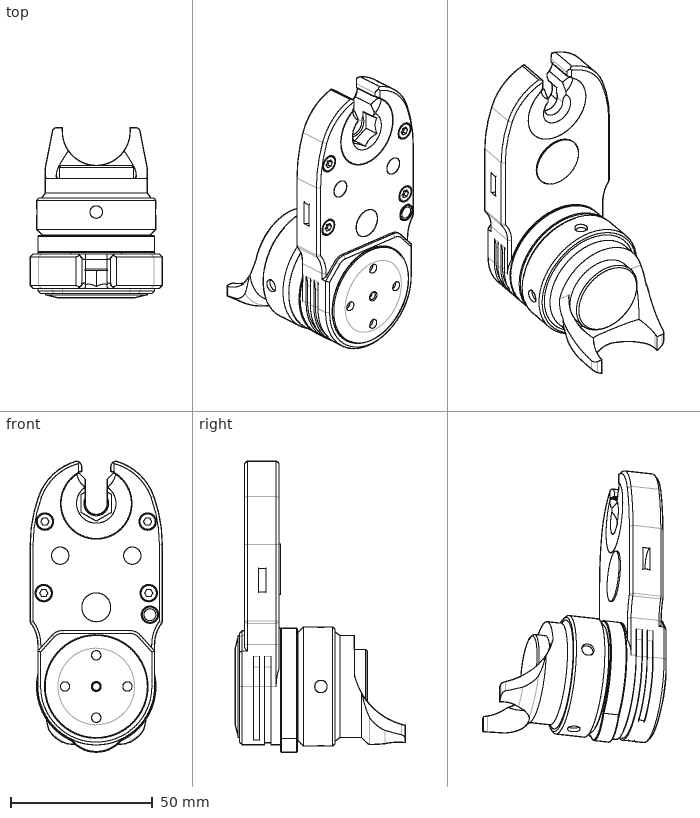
import cadquery as cq
import math


plate_front = 3.3
plate_back = 15.5
plate_chamfer = 1.05
plate_half_width = 23.3
shoulder_low_z = 22.6
shoulder_radius = 1.6
shoulder_high_z = 50.0
neck_z = 14.85
flank_radius = 50.0
flank_top_z = 67.0
crown_radius = 20.0

head_radius = 20.6
head_front = 1.5
head_back = 16.0
head_chamfer = 1.0
step_top_z = 19.7
step_top_half_width = 14.1
step_side_z = 12.5
step_corner_radius = 5.0

cap_radius = 18.0
cap_edge_y = 1.1
cap_face_radius = 13.5
cap_gap = 0.25
cap_gap_depth = 0.5
cap_hole_radius = 1.65
cap_hole_circle_radius = 11.0
cap_hole_depth = 2.0
cap_centre_hole_radius = 1.35
cap_centre_chamfer = 0.4

groove_depth = 0.7
groove_flat_top_z = 6.8
groove_end_z = 10.5
rear_groove = (10.4, 12.6)
front_groove = (6.45, 8.6)
front_groove_low_z = -18.9

rotor_z = 64.5
rotor_radius = 12.4
rotor_clearance = 0.2
clearance_depth = 2.0
rotor_slot_half_width = 3.85
rotor_slot_chamfer = 0.5
hex_across_flats = 10.8
hex_depth = 6.3
countersink_radius = 6.95
mouth_cone_z = 76.0
mouth_edge_z = 73.0
rear_countersink_depth = 2.0
jaw_half_width = 6.3
lip_half_width = 5.1
lip_bottom_z = 75.6
lip_tip_radius = 2.0
lip_top_z = 79.4

screw_places = [(-18.1, 58.1), (18.1, 58.1), (-18.5, 32.9), (18.5, 32.9)]
screw_bore_radius = 3.05
screw_head_radius = 2.7
screw_gap_depth = 1.0
screw_hex_diameter = 2.9
screw_hex_depth = 1.5
fitting_place = (18.9, 25.3)
fitting_bore_radius = 2.1
pin_places = [(-12.7, 46.1, 3.05), (12.7, 46.1, 3.05), (0, 27.9, 5.1)]
pin_recess = 0.1
rear_boss_z = 41.3
rear_boss_radius = 8.95
window_z = 37.45
window_centre_x = 20.6
window_radius = 5.0
window_span = (8.2, 10.9)

flange_back = 21.9
flange_radius = 20.6
flange_chamfer = 0.3
lobe_radius = 11.4
lobe_reach = 23.2
collar_front = 22.1
collar_back = 35.2
collar_radius = 21.05
collar_front_chamfer = 2.0
collar_back_chamfer = 0.8
collar_neck_radius = 18.5
collar_hole_y = 30.25
collar_hole_radius = 2.2
collar_hole_depth = 1.5
shank_cone_radius = 19.3
shank_cone_end = 36.9
shank_radius = 18.05
shank_back = 42.0
boss_radius = 13.05
boss_back = 46.6
boss_chamfer = 0.6

fork_back = 60.0
flare_start_y = 44.6
flare_end_y = 47.4
fork_bulge_y = 50.0
fork_bulge_radius = 22.0
fork_rim_y = 52.8
fork_rim_radius = 22.7
fork_end_radius = 23.1
fork_taper_y = 45.5
fork_tip_half_width = 15.2
fork_tip_radius = 1.6
fork_mouth_radius = 11.9
fork_mouth_y = 58.6
saddle_radius = 23.5
saddle_y = 65.0
saddle_z = 9.3
boss_clearance_radius = 14.1


def outline_at(y):
    """Workplane in X and Z at depth y; negative extrusions go toward +Y."""
    return cq.Workplane("XZ", origin=(0, y, 0))


def disc(radius, y_start, y_end, x=0, z=0):
    return outline_at(y_start).center(x, z).circle(radius).extrude(y_start - y_end)


def cone(radius_start, radius_end, y_start, y_end, z=0):
    solid = cq.Solid.makeCone(
        radius_start, radius_end, y_end - y_start, cq.Vector(0, y_start, z), cq.Vector(0, 1, 0)
    )
    return cq.Workplane(solid)


def box(x_span, y_span, z_span):
    size = [high - low for low, high in (x_span, y_span, z_span)]
    return cq.Workplane("XY").box(*size, centered=False).translate((x_span[0], y_span[0], z_span[0]))


def mirrored_x(shape):
    return shape.union(shape.mirror("YZ"))


def plate_outline():
    flank_x = plate_half_width - flank_radius
    flank_angle = math.asin((flank_top_z - shoulder_high_z) / flank_radius)
    flank_end_x = flank_x + flank_radius * math.cos(flank_angle)
    crown_x = flank_end_x - crown_radius * math.cos(flank_angle)
    crown_z = flank_top_z - crown_radius * math.sin(flank_angle)
    crown_angle = (flank_angle + math.pi / 2) / 2
    crown_mid = (
        crown_x + crown_radius * math.cos(crown_angle),
        crown_z + crown_radius * math.sin(crown_angle),
    )
    crown_top = (crown_x, crown_z + crown_radius)
    flank_mid = (
        flank_x + flank_radius * math.cos(flank_angle / 2),
        shoulder_high_z + flank_radius * math.sin(flank_angle / 2),
    )
    neck_rise = shoulder_low_z - neck_z
    neck_step = plate_half_width - head_radius
    neck_radius = (neck_rise**2 + neck_step**2) / (2 * neck_step)
    neck_angle = math.asin(neck_rise / neck_radius) / 2
    neck_mid = (
        head_radius + neck_radius * (1 - math.cos(neck_angle)),
        neck_z + neck_radius * math.sin(neck_angle),
    )

    def left(point):
        return (-point[0], point[1])

    return (
        outline_at(plate_front)
        .moveTo(-head_radius, 0)
        .lineTo(head_radius, 0)
        .lineTo(head_radius, neck_z)
        .threePointArc(neck_mid, (plate_half_width, shoulder_low_z))
        .lineTo(plate_half_width, shoulder_high_z)
        .threePointArc(flank_mid, (flank_end_x, flank_top_z))
        .threePointArc(crown_mid, crown_top)
        .lineTo(*left(crown_top))
        .threePointArc(left(crown_mid), (-flank_end_x, flank_top_z))
        .threePointArc(left(flank_mid), (-plate_half_width, shoulder_high_z))
        .lineTo(-plate_half_width, shoulder_low_z)
        .threePointArc(left(neck_mid), (-head_radius, neck_z))
        .close()
    )


def jaw_opening():
    """Open jaw with a pair of bevelled, rounded lips at its mouth."""
    jaw_top = rotor_z + crown_radius
    opening = box((-jaw_half_width, jaw_half_width), (plate_front, plate_back), (rotor_z, jaw_top))
    bevel = jaw_half_width - lip_half_width
    lip = (
        cq.Workplane("XY", origin=(0, 0, lip_bottom_z))
        .moveTo(jaw_half_width, plate_front)
        .lineTo(lip_half_width, plate_front + bevel)
        .lineTo(lip_half_width, plate_back - bevel)
        .lineTo(jaw_half_width, plate_back)
        .close()
        .extrude(jaw_top - lip_bottom_z)
    )
    return opening.cut(mirrored_x(lip))


def lip_rounding():
    """Material taken off the upper inner corners of the two jaw tips."""
    centre_x = lip_half_width + lip_tip_radius
    centre_z = lip_top_z - lip_tip_radius
    corner = box((0, centre_x), (plate_front, plate_back), (centre_z, lip_top_z + lip_tip_radius))
    return mirrored_x(corner.cut(disc(lip_tip_radius, plate_front, plate_back, centre_x, centre_z)))


def screw_recess(x, z):
    ring = disc(screw_bore_radius, plate_front, plate_front + screw_gap_depth, x, z)
    ring = ring.cut(disc(screw_head_radius, plate_front, plate_front + screw_gap_depth, x, z))
    socket = outline_at(plate_front).center(x, z).polygon(6, screw_hex_diameter).extrude(-screw_hex_depth)
    return ring.union(socket)


def fitting_recess(x, z):
    ring = disc(screw_bore_radius, plate_front, plate_front + screw_gap_depth, x, z)
    ring = ring.cut(disc(screw_head_radius, plate_front, plate_front + screw_gap_depth, x, z))
    bore = cone(fitting_bore_radius, 0, plate_front, plate_front + fitting_bore_radius, z)
    return ring.union(bore.translate((x, 0, 0)))


def gear_plate():
    middle_y = (plate_front + plate_back) / 2
    plate = plate_outline().extrude(plate_front - plate_back)
    for side in (-1, 1):
        shoulder = cq.selectors.NearestToPointSelector((side * plate_half_width, middle_y, shoulder_low_z))
        plate = plate.edges("|Y").edges(shoulder).fillet(shoulder_radius)
    plate = plate.faces("<Y or >Y").chamfer(plate_chamfer)
    plate = plate.cut(jaw_opening()).cut(lip_rounding())
    plate = plate.cut(disc(rotor_radius, plate_front, plate_back, z=rotor_z))
    clearance = rotor_radius + rotor_clearance
    plate = plate.cut(disc(clearance, plate_front, plate_front + clearance_depth, z=rotor_z))
    plate = plate.union(disc(rear_boss_radius, plate_back, head_back, z=rear_boss_z))
    for x, z in screw_places:
        plate = plate.cut(screw_recess(x, z))
    plate = plate.cut(fitting_recess(*fitting_place))
    for x, z, radius in pin_places:
        plate = plate.cut(disc(radius, plate_front, plate_front + pin_recess, x, z))
    for side in (-1, 1):
        plate = plate.cut(disc(window_radius, *window_span, side * window_centre_x, window_z))
    return plate


def head_step():
    """Raised front of the head, bevelled all round."""
    step = (
        outline_at(head_front)
        .moveTo(-head_radius, 0)
        .threePointArc((0, -head_radius), (head_radius, 0))
        .lineTo(head_radius, step_side_z)
        .lineTo(step_top_half_width, step_top_z)
        .lineTo(-step_top_half_width, step_top_z)
        .lineTo(-head_radius, step_side_z)
        .close()
        .extrude(head_front - plate_front - plate_chamfer)
    )
    step = step.edges("|Y and >Z").fillet(step_corner_radius)
    return step.faces("<Y").chamfer(head_chamfer)


def head_groove(y_start, y_end):
    """U-shaped groove following the head sides, running out in an arc at each end."""
    floor = head_radius - groove_depth
    runout_rise = groove_end_z - groove_flat_top_z
    runout_radius = (runout_rise**2 + groove_depth**2) / (2 * groove_depth)
    angle = math.asin(runout_rise / runout_radius) / 2
    mid_x = floor + runout_radius * (1 - math.cos(angle))
    mid_z = groove_flat_top_z + runout_radius * math.sin(angle)
    core = (
        outline_at(y_start)
        .moveTo(-floor, 0)
        .threePointArc((0, -floor), (floor, 0))
        .lineTo(floor, groove_flat_top_z)
        .threePointArc((mid_x, mid_z), (head_radius, groove_end_z))
        .lineTo(-head_radius, groove_end_z)
        .threePointArc((-mid_x, mid_z), (-floor, groove_flat_top_z))
        .close()
        .extrude(y_start - y_end)
    )
    reach = head_radius + groove_depth
    blank = box((-reach, reach), (y_start, y_end), (-reach, groove_end_z))
    return blank.cut(core)


def cap():
    return (
        cq.Workplane("XY")
        .polyline([(0, 0), (cap_face_radius, 0), (cap_radius, cap_edge_y), (cap_radius, plate_front), (0, plate_front)])
        .close()
        .revolve(360, (0, 0), (0, 1))
    )


def cap_recesses():
    gap_end = head_front + cap_gap_depth
    recesses = disc(cap_radius + cap_gap, 0, gap_end).cut(disc(cap_radius, 0, gap_end))
    for quarter in range(4):
        angle = math.radians(90 * quarter)
        x = cap_hole_circle_radius * math.cos(angle)
        z = cap_hole_circle_radius * math.sin(angle)
        recesses = recesses.union(disc(cap_hole_radius, 0, cap_hole_depth, x, z))
    recesses = recesses.union(disc(cap_centre_hole_radius, 0, cap_hole_depth))
    chamfer_radius = cap_centre_hole_radius + cap_centre_chamfer
    return recesses.union(cone(chamfer_radius, cap_centre_hole_radius, 0, cap_centre_chamfer))


def head():
    body = disc(head_radius, plate_front + plate_chamfer, head_back).rotate((0, 0, 0), (0, 1, 0), -90)
    return body.union(head_step()).union(cap()).cut(cap_recesses())


def coupling():
    """Lobed flange, spanner collar and shank, coaxial with the head."""
    lobe = disc(lobe_radius, head_back, flange_back, z=lobe_radius - lobe_reach).edges().chamfer(flange_chamfer)
    flange = disc(flange_radius, head_back, flange_back).edges().chamfer(flange_chamfer).union(lobe)
    profile = [
        (0, flange_back - flange_chamfer),
        (collar_neck_radius, flange_back - flange_chamfer),
        (collar_neck_radius, collar_front),
        (collar_radius - collar_front_chamfer, collar_front),
        (collar_radius, collar_front + collar_front_chamfer),
        (collar_radius, collar_back - collar_back_chamfer),
        (collar_radius - collar_back_chamfer, collar_back),
        (shank_cone_radius, collar_back),
        (shank_radius, shank_cone_end),
        (shank_radius, shank_back),
        (0, shank_back),
    ]
    collar = cq.Workplane("XY").polyline(profile).close().revolve(360, (0, 0), (0, 1))
    hole = (
        cq.Workplane("XY", origin=(0, collar_hole_y, collar_radius - collar_hole_depth))
        .circle(collar_hole_radius)
        .extrude(2 * collar_hole_depth)
    )
    for quarter in range(4):
        collar = collar.cut(hole.rotate((0, 0, 0), (0, 1, 0), 90 * quarter))
    return flange.union(collar)


def fork():
    """Two tines under a saddle surface, hollowed around the rear boss."""
    flare_radius = shank_radius + flare_end_y - flare_start_y
    blank = (
        cq.Workplane("XY")
        .moveTo(0, shank_back)
        .lineTo(shank_radius, shank_back)
        .lineTo(shank_radius, flare_start_y)
        .lineTo(flare_radius, flare_end_y)
        .threePointArc((fork_bulge_radius, fork_bulge_y), (fork_rim_radius, fork_rim_y))
        .lineTo(fork_end_radius, fork_back)
        .lineTo(0, fork_back)
        .close()
        .revolve(360, (0, 0), (0, 1))
    )
    blank = blank.intersect(
        box((-shank_radius, shank_radius), (shank_back, fork_back), (-fork_end_radius, saddle_z))
    )
    saddle = (
        cq.Workplane("YZ", origin=(-shank_radius, saddle_y, saddle_z))
        .circle(saddle_radius)
        .extrude(2 * shank_radius)
    )
    height = saddle_z + fork_end_radius
    plan = (
        cq.Workplane("XY", origin=(0, 0, -fork_end_radius))
        .moveTo(-shank_radius, shank_back)
        .lineTo(shank_radius, shank_back)
        .lineTo(shank_radius, fork_taper_y)
        .lineTo(fork_tip_half_width, fork_back)
        .lineTo(-fork_tip_half_width, fork_back)
        .lineTo(-shank_radius, fork_taper_y)
        .close()
        .extrude(height)
        .edges("|Z and >Y")
        .fillet(fork_tip_radius)
    )
    mouth = (
        cq.Workplane("XY", origin=(0, 0, -fork_end_radius))
        .moveTo(-fork_mouth_radius, fork_back)
        .lineTo(-fork_mouth_radius, fork_mouth_y)
        .threePointArc((0, fork_mouth_y - fork_mouth_radius), (fork_mouth_radius, fork_mouth_y))
        .lineTo(fork_mouth_radius, fork_back)
        .close()
        .extrude(height)
    )
    tines = blank.intersect(plan).cut(saddle).cut(mouth)
    tines = tines.cut(disc(boss_clearance_radius, shank_back, fork_back))
    boss = disc(boss_radius, shank_back, boss_back).faces(">Y").chamfer(boss_chamfer)
    return tines.union(boss)


def make_housing():
    body = gear_plate().union(head()).union(coupling()).union(fork())
    upper_groove_part = box(
        (-collar_radius, collar_radius), front_groove, (front_groove_low_z, groove_end_z)
    )
    body = body.cut(head_groove(*rear_groove))
    return body.cut(head_groove(*front_groove).intersect(upper_groove_part))


def make_rotor():
    """Slotted disc with a hexagon pocket for the nut."""
    rotor = disc(rotor_radius, plate_front, plate_back, z=rotor_z)
    half = rotor_slot_half_width
    slot_top = rotor_z + rotor_radius
    mouth_rise = jaw_half_width - half
    slot = (
        outline_at(plate_front)
        .moveTo(-half, rotor_z)
        .threePointArc((0, rotor_z - half), (half, rotor_z))
        .lineTo(half, mouth_edge_z)
        .lineTo(jaw_half_width, mouth_edge_z + mouth_rise)
        .lineTo(jaw_half_width, slot_top)
        .lineTo(-jaw_half_width, slot_top)
        .lineTo(-jaw_half_width, mouth_edge_z + mouth_rise)
        .lineTo(-half, mouth_edge_z)
        .close()
        .extrude(plate_front - plate_back)
    )
    rotor = rotor.cut(slot)

    hex_floor = plate_front + hex_depth
    pocket = (
        outline_at(plate_front)
        .center(0, rotor_z)
        .polygon(6, hex_across_flats / math.cos(math.pi / 6))
        .extrude(-hex_depth)
        .rotate((0, 0, rotor_z), (0, 1, rotor_z), 30)
    )
    rotor = rotor.cut(pocket)
    for cone_z in (rotor_z, mouth_cone_z):
        lead_in = cone(countersink_radius, half, plate_front, plate_front + countersink_radius - half, cone_z)
        rotor = rotor.cut(lead_in)
    mouth_depth = countersink_radius - half
    rotor = rotor.cut(cone(half, countersink_radius, plate_back - mouth_depth, plate_back, mouth_cone_z))
    edge = half + rotor_slot_chamfer
    rotor = rotor.cut(cone(edge, half, hex_floor, hex_floor + rotor_slot_chamfer, rotor_z))
    front_bevel = (
        cq.Workplane("XY", origin=(0, 0, rotor_z))
        .moveTo(-edge, plate_front)
        .lineTo(edge, plate_front)
        .lineTo(half, plate_front + rotor_slot_chamfer)
        .lineTo(-half, plate_front + rotor_slot_chamfer)
        .close()
        .extrude(rotor_radius)
    )
    rotor = rotor.cut(front_bevel)
    rear_start = plate_back - rear_countersink_depth
    return rotor.cut(cone(half, half + rear_countersink_depth, rear_start, plate_back, rotor_z))


housing = make_housing()
rotor = make_rotor()
result = cq.Compound.makeCompound([housing.val(), rotor.val()])